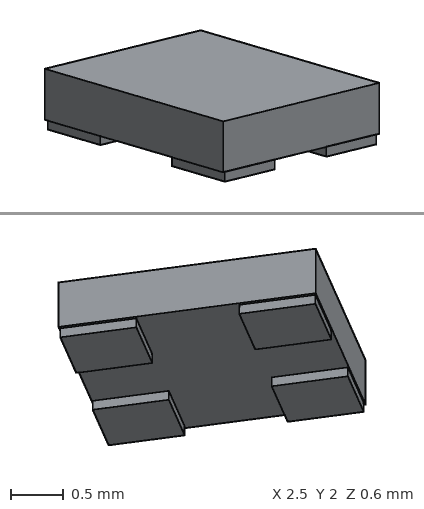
import cadquery as cq

body_length = 2.5
body_width = 2.0
body_height = 0.5

pad_length = 0.74
pad_width = 0.64
pad_height = 0.1
end_inset = 0.01
side_inset = 0.03


def make_body():
    """Plain block resting on top of the pads."""
    return (
        cq.Workplane("XY")
        .workplane(offset=pad_height)
        .rect(body_length, body_width)
        .extrude(body_height)
    )


def make_pad(center_x, center_y):
    """One rectangular pad with its lower face at Z = 0."""
    return (
        cq.Workplane("XY")
        .center(center_x, center_y)
        .rect(pad_length, pad_width)
        .extrude(pad_height)
    )


pad_center_x = body_length / 2 - end_inset - pad_length / 2
pad_center_y = body_width / 2 - side_inset - pad_width / 2

body = make_body()
pads = []
for x_side in (-1, 1):
    for y_side in (-1, 1):
        pad = make_pad(x_side * pad_center_x, y_side * pad_center_y)
        pads.append(pad.val())

result = cq.Compound.makeCompound([body.val(), *pads])